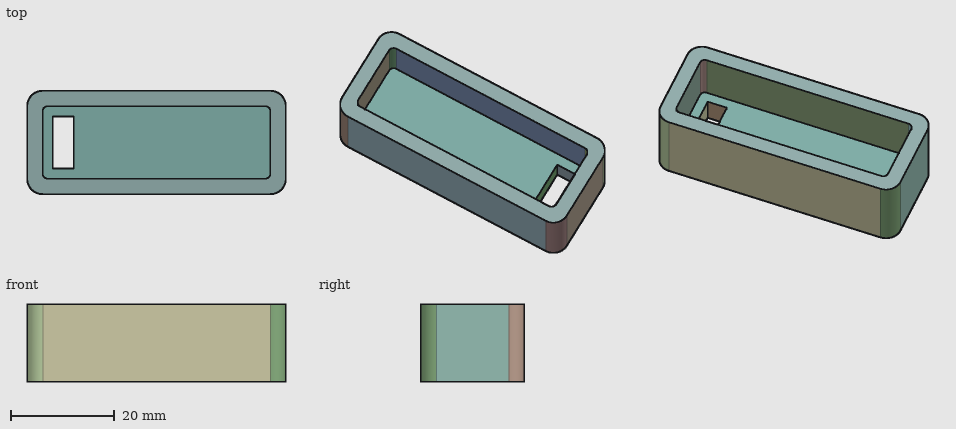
import cadquery as cq

length = 50.0
width = 20.0
height = 15.0
outer_corner_radius = 3.0

wall = 3.0
floor = 5.0
cavity_corner_radius = 1.0
cavity_length = length - 2 * wall
cavity_width = width - 2 * wall
cavity_depth = height - floor

slot_length = 4.0
slot_width = 10.0
slot_end_gap = 2.0
slot_center_x = -cavity_length / 2 + slot_end_gap + slot_length / 2


def rounded_block(size_x, size_y, size_z, corner_radius):
    """Block standing on Z = 0 with rounded vertical edges."""
    block = cq.Workplane("XY").box(size_x, size_y, size_z, centered=(True, True, False))
    return block.edges("|Z").fillet(corner_radius)


def floor_slot():
    """Square-cornered cutter reaching through the floor."""
    slot = cq.Workplane("XY").box(slot_length, slot_width, height, centered=(True, True, False))
    return slot.translate((slot_center_x, 0, 0))


body = rounded_block(length, width, height, outer_corner_radius)
cavity = rounded_block(cavity_length, cavity_width, cavity_depth, cavity_corner_radius)
cavity = cavity.translate((0, 0, floor))

result = body.cut(cavity).cut(floor_slot())